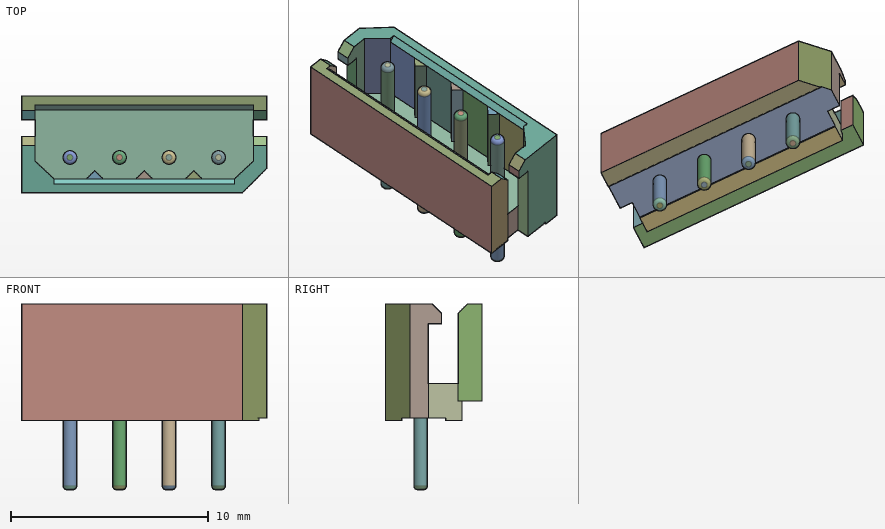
import cadquery as cq


length = 12.4
depth = 4.9
height = 5.9
key_chamfer = 1.24

floor_z = 1.88
end_wall = 0.68
cavity_front = 0.71
cavity_back = 4.18
corner_x = 0.95
corner_y = 0.89
lead_in = 0.26

slot_front = 2.18
slot_back = 3.68
hook_tip = 2.85
hook_bottom = 4.9
slot_chamfer = 0.47

base_back = 3.88
back_wall_bottom = 0.99
groove_front = 0.84
groove_back = 3.05
groove_depth = 0.12

pin_count = 4
pitch = 2.5
pin_diameter = 0.7
pin_y = 1.79
pin_top = 5.36
pin_bottom = -3.5
pin_round = 0.2
rib_width = 0.84
rib_projection = 0.41

middle_x = length / 2
cavity_right = length - end_wall


def box(x0, x1, y0, y1, z0, z1):
    return cq.Workplane("XY").box(x1 - x0, y1 - y0, z1 - z0, centered=False).translate((x0, y0, z0))


def along_x(points, x0, x1):
    """Extrude a (Y, Z) outline from x0 to x1."""
    return cq.Workplane("YZ").polyline(points).close().extrude(x1 - x0).translate((x0, 0, 0))


def spaced_x(count):
    """X places of a centred row at the pin pitch."""
    return [middle_x + (i - (count - 1) / 2) * pitch for i in range(count)]


def make_blank():
    blank = box(0, length, 0, depth, 0, height)
    blank = blank.edges("|Z and >X and <Y").chamfer(key_chamfer)
    blank = blank.cut(box(0, length, base_back, depth, 0, back_wall_bottom))
    for x0, x1 in ((0, end_wall), (cavity_right, length)):
        blank = blank.cut(box(x0, x1, slot_front, slot_back, 0, floor_z))
        blank = blank.cut(box(x0, x1, slot_back, base_back, 0, back_wall_bottom))
    return blank.cut(box(0, length, groove_front, groove_back, 0, groove_depth))


def make_cavity():
    outline = [
        (end_wall, cavity_back),
        (end_wall, cavity_front + corner_y),
        (end_wall + corner_x, cavity_front),
        (cavity_right - corner_x, cavity_front),
        (cavity_right, cavity_front + corner_y),
        (cavity_right, cavity_back),
    ]
    mouth_z = height - lead_in
    front_bevel = [(cavity_front, mouth_z), (cavity_front - lead_in, height), (cavity_front, height)]
    back_bevel = [(cavity_back, mouth_z), (cavity_back + lead_in, height), (cavity_back, height)]
    cavity = cq.Workplane("XY").workplane(offset=floor_z).polyline(outline).close().extrude(height - floor_z)
    cavity = cavity.union(along_x(front_bevel, end_wall + corner_x, cavity_right - corner_x))
    return cavity.union(along_x(back_bevel, end_wall, cavity_right))


def make_slots():
    chamfer_z = height - slot_chamfer
    outline = [
        (slot_front, floor_z),
        (slot_back, floor_z),
        (slot_back, chamfer_z),
        (slot_back + slot_chamfer, height),
        (hook_tip - slot_chamfer, height),
        (hook_tip, chamfer_z),
        (hook_tip, hook_bottom),
        (slot_front, hook_bottom),
    ]
    return along_x(outline, 0, end_wall).union(along_x(outline, cavity_right, length))


def make_rib(x):
    outline = [
        (x - rib_width / 2, cavity_front),
        (x + rib_width / 2, cavity_front),
        (x, cavity_front + rib_projection),
    ]
    rib_height = height - lead_in - floor_z
    return cq.Workplane("XY").workplane(offset=floor_z).polyline(outline).close().extrude(rib_height)


def make_pin(x):
    pin = cq.Workplane("XY").circle(pin_diameter / 2).extrude(pin_top - pin_bottom)
    return pin.edges().fillet(pin_round).translate((x, pin_y, pin_bottom))


result = make_blank().cut(make_cavity()).cut(make_slots())
for rib_x in spaced_x(pin_count - 1):
    result = result.union(make_rib(rib_x))
for pin_x in spaced_x(pin_count):
    result = result.union(make_pin(pin_x))